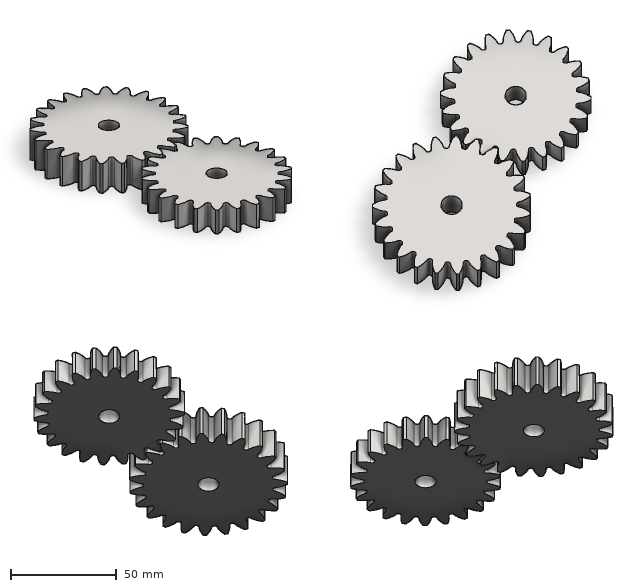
import cadquery as cq
import math

OVERALL_LENGTH = 140.5
CENTRE_DISTANCE = 67.3
WHEEL_TIP_RADIUS = 37.5
WHEEL_TEETH = 23
PINION_TEETH = 22
WHEEL_THICKNESS = 16.0
PINION_THICKNESS = 13.0
BORE_DIAMETER = 10.0

WHEEL_FIRST_TOOTH = math.pi
PINION_FIRST_TOOTH = 0.0

PRESSURE_ANGLE = math.radians(25)
TOOTH_DEPTH = 6.7
ROOT_ROUND_HEIGHT = 1.3
WHEEL_THINNING = 0.08
PINION_THINNING = 0.3
FLANK_SPANS = 4

MODULE = 2 * WHEEL_TIP_RADIUS / (WHEEL_TEETH + 2)
PINION_TIP_RADIUS = OVERALL_LENGTH - CENTRE_DISTANCE - WHEEL_TIP_RADIUS
WHEEL_X = WHEEL_TIP_RADIUS - OVERALL_LENGTH / 2
PINION_X = WHEEL_X + CENTRE_DISTANCE


def polar(radius, angle):
    return (radius * math.cos(angle), radius * math.sin(angle))


def involute(pressure_angle):
    return math.tan(pressure_angle) - pressure_angle


def flank_points(teeth, tip_radius, thinning):
    """Radius and half tooth angle along an involute flank, from the root round to the tip."""
    pitch_radius = MODULE * teeth / 2
    base_radius = pitch_radius * math.cos(PRESSURE_ANGLE)
    pitch_half_angle = math.pi / (2 * teeth) - thinning / (2 * pitch_radius)
    start_radius = tip_radius - TOOTH_DEPTH + ROOT_ROUND_HEIGHT
    points = []
    for step in range(FLANK_SPANS + 1):
        radius = start_radius + (tip_radius - start_radius) * step / FLANK_SPANS
        local_pressure_angle = math.acos(base_radius / radius)
        half_angle = pitch_half_angle + involute(PRESSURE_ANGLE) - involute(local_pressure_angle)
        points.append((radius, half_angle))
    return points


def gear_outline(teeth, tip_radius, first_tooth_angle, thinning):
    """Closed outline of involute teeth, with one arc across each tip and each root gap."""
    root_radius = tip_radius - TOOTH_DEPTH
    pitch_angle = 2 * math.pi / teeth
    flank = flank_points(teeth, tip_radius, thinning)
    start_radius, start_half_angle = flank[0]
    outline = cq.Workplane("XY").moveTo(*polar(start_radius, first_tooth_angle - start_half_angle))
    for tooth in range(teeth):
        middle = first_tooth_angle + tooth * pitch_angle
        rising = [polar(radius, middle - half_angle) for radius, half_angle in flank]
        falling = [polar(radius, middle + half_angle) for radius, half_angle in reversed(flank)]
        gap_bottom = polar(root_radius, middle + pitch_angle / 2)
        next_start = polar(start_radius, middle + pitch_angle - start_half_angle)
        outline = (
            outline.spline(rising[1:], includeCurrent=True)
            .threePointArc(polar(tip_radius, middle), falling[0])
            .spline(falling[1:], includeCurrent=True)
            .threePointArc(gap_bottom, next_start)
        )
    return outline.close()


def make_gear(teeth, tip_radius, thickness, first_tooth_angle, thinning):
    """Spur gear on the Z axis, centred on the XY plane, with a plain through bore."""
    outline = gear_outline(teeth, tip_radius, first_tooth_angle, thinning)
    gear = outline.extrude(thickness).translate((0, 0, -thickness / 2))
    return gear.faces(">Z").workplane(origin=(0, 0)).hole(BORE_DIAMETER)


wheel = make_gear(
    WHEEL_TEETH, WHEEL_TIP_RADIUS, WHEEL_THICKNESS, WHEEL_FIRST_TOOTH, WHEEL_THINNING
).translate((WHEEL_X, 0, 0))

pinion = make_gear(
    PINION_TEETH, PINION_TIP_RADIUS, PINION_THICKNESS, PINION_FIRST_TOOTH, PINION_THINNING
).translate((PINION_X, 0, 0))

result = cq.Compound.makeCompound([wheel.val(), pinion.val()])